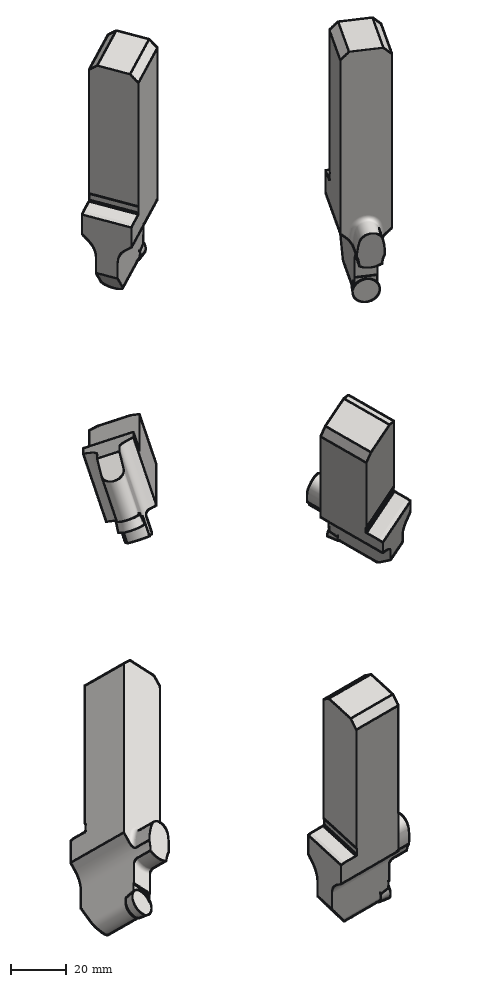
import cadquery as cq
import math


total_height = 110.3
shank_width = 19.0
shank_depth = 19.3
head_depth = 26.2
end_chamfer = 3.2

relief_depth = 0.3
relief_top = 45.3
relief_run = 0.5
ledge_height = 41.4
corner_chamfer = 0.4
ledge_bevel_start = 24.7
ledge_bevel_drop = 0.3

blade_width = 8.4
neck_bottom = 21.7
neck_radius = 10.0
neck_angle = 45.0
nose_cut_depth = 19.0
nose_cut_top = 13.7
seat_recess = 0.3
seat_top = 11.2

insert_diameter = 10.0
insert_seat_diameter = 9.0
insert_thickness = 4.0

boss_top = 36.2
boss_shoulder = 32.9
boss_corner = 22.1
boss_bottom = 20.6
boss_shoulder_half = 4.3
boss_corner_half = 4.6
boss_corner_rounding = 0.5
boss_length = 9.0
boss_tilt = 3.7
boss_fillet = 1.7

half_shank = shank_width / 2
half_blade = blade_width / 2
insert_center = insert_diameter / 2
nose_bottom = insert_center - half_blade
front_clearance = 11.0


def neck_point(angle):
    """Point on the +X neck arc, at an angle turned up from its vertical tangent."""
    turn = math.radians(angle)
    x = half_blade + neck_radius * (1 - math.cos(turn))
    z = neck_bottom + neck_radius * math.sin(turn)
    return x, z


def mirrored(point):
    return -point[0], point[1]


def make_width_prism():
    """Outline of shank, neck and round nose in XZ, extended through the holder and its boss."""
    neck_middle = neck_point(neck_angle / 2)
    neck_end = neck_point(neck_angle)
    taper_height = (half_shank - neck_end[0]) * math.tan(math.radians(neck_angle))
    shoulder = (half_shank, neck_end[1] + taper_height)
    outline = (
        cq.Workplane("XZ", origin=(0, boss_length + front_clearance, 0))
        .moveTo(-half_blade, insert_center)
        .threePointArc((0, nose_bottom), (half_blade, insert_center))
        .lineTo(half_blade, neck_bottom)
        .threePointArc(neck_middle, neck_end)
        .lineTo(*shoulder)
        .lineTo(half_shank, total_height - end_chamfer)
        .lineTo(half_shank - end_chamfer, total_height)
        .lineTo(end_chamfer - half_shank, total_height)
        .lineTo(-half_shank, total_height - end_chamfer)
        .lineTo(*mirrored(shoulder))
        .lineTo(*mirrored(neck_end))
        .threePointArc(mirrored(neck_middle), (-half_blade, neck_bottom))
        .close()
    )
    return outline.extrude(head_depth + boss_length + 2 * front_clearance)


def make_depth_prism():
    """Side outline of the holder in YZ, wide enough to hold the whole boss fillet."""
    relief_face = shank_depth - relief_depth
    outline = [
        (0, total_height),
        (-shank_depth, total_height),
        (-shank_depth, relief_top),
        (-relief_face, relief_top - relief_run),
        (-relief_face, ledge_height + corner_chamfer),
        (-relief_face - corner_chamfer, ledge_height),
        (-ledge_bevel_start, ledge_height),
        (-head_depth, ledge_height - ledge_bevel_drop),
        (-head_depth, nose_cut_top),
        (-nose_cut_depth, nose_bottom),
        (-seat_recess, nose_bottom),
        (-seat_recess, seat_top),
        (0, seat_top),
    ]
    return cq.Workplane("YZ").polyline(outline).close().extrude(half_shank, both=True)


def make_boss():
    """Arched boss with its end face tilted back towards the bottom; its root lies on Y = 0."""
    rise = boss_top - boss_shoulder
    crown_radius = (boss_shoulder_half**2 + rise**2) / (2 * rise)
    crown_center = boss_top - crown_radius
    tangent_angle = math.asin((boss_shoulder - crown_center) / crown_radius)
    run = boss_shoulder_half - boss_corner_half
    drop = boss_shoulder - boss_corner
    chord_angle = math.atan2(run, drop)
    bow_ratio = math.tan((tangent_angle + chord_angle) / 2) / 2
    side_middle = (
        (boss_shoulder_half + boss_corner_half) / 2 + bow_ratio * drop,
        (boss_shoulder + boss_corner) / 2 - bow_ratio * run,
    )
    blank = (
        cq.Workplane("XZ")
        .moveTo(-boss_shoulder_half, boss_shoulder)
        .threePointArc((0, boss_top), (boss_shoulder_half, boss_shoulder))
        .threePointArc(side_middle, (boss_corner_half, boss_corner))
        .threePointArc((0, boss_bottom), (-boss_corner_half, boss_corner))
        .threePointArc(mirrored(side_middle), (-boss_shoulder_half, boss_shoulder))
        .close()
        .extrude(-boss_length)
    )
    lower_corners = cq.selectors.BoxSelector(
        (-half_shank, 0, boss_corner - boss_corner_rounding),
        (half_shank, boss_length, boss_corner + boss_corner_rounding),
    )
    rounded = blank.edges(lower_corners).fillet(boss_corner_rounding)
    setback = (boss_top - boss_bottom) * math.tan(math.radians(boss_tilt))
    end_wedge = (
        cq.Workplane("YZ")
        .moveTo(boss_length, boss_top)
        .lineTo(boss_length, boss_bottom)
        .lineTo(boss_length - setback, boss_bottom)
        .close()
        .extrude(half_shank, both=True)
    )
    return rounded.cut(end_wedge)


def make_insert():
    """Tapered round insert, its larger face flush with the back of the holder."""
    return (
        cq.Workplane("XZ", origin=(0, 0, insert_center))
        .circle(insert_diameter / 2)
        .workplane(offset=insert_thickness)
        .circle(insert_seat_diameter / 2)
        .loft()
    )


def make_holder(insert):
    root_zone = cq.selectors.BoxSelector(
        (-boss_corner_half - boss_fillet, -seat_recess / 2, boss_bottom - boss_fillet),
        (boss_corner_half + boss_fillet, seat_recess / 2, boss_top + boss_fillet),
    )
    body = make_depth_prism().union(make_boss()).edges(root_zone).fillet(boss_fillet)
    return body.intersect(make_width_prism()).cut(insert)


cutting_insert = make_insert()
holder = make_holder(cutting_insert)

result = cq.Compound.makeCompound([holder.solids().val(), cutting_insert.val()])